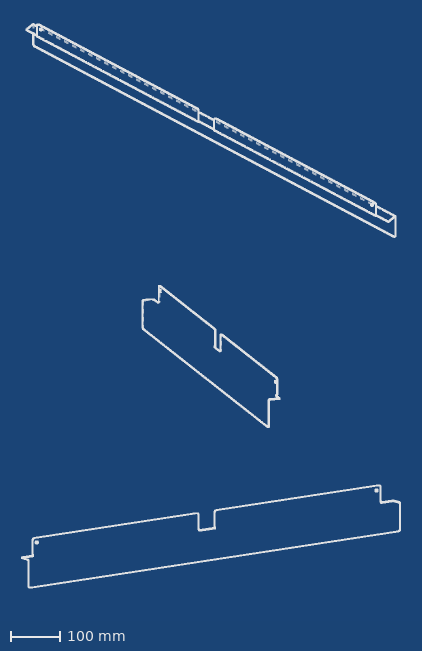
import cadquery as cq
import math

length = 937.0
depth = 28.0
height = 95.0

sheet = 2.0
inner_radius = 2.0
outer_radius = inner_radius + sheet

shelf_top = 60.0
shelf_bottom = shelf_top - sheet

web_corner_radius = 5.0

flange_inset = 29.75
flange_gap = 40.0
flange_length = length / 2 - flange_inset - flange_gap / 2
flange_corner_radius = 5.0

hole_diameter = 5.0
hole_from_end = 10.5
hole_from_top = 10.0

front = -depth / 2
back = depth / 2
flange_bend_line = front + outer_radius
web_bend_line = back - outer_radius


def bend_middle(center_y, center_z, radius):
    """Middle of a 90 degree bend; a negative radius gives the bend facing -Y and -Z."""
    offset = radius * math.sqrt(0.5)
    return (center_y + offset, center_z + offset)


def extrude_along_x(profile, start, distance):
    """Extrude a closed (Y, Z) profile in +X from the given start."""
    return profile.extrude(distance).translate((start, 0, 0))


def make_web_and_shelf():
    """Full-length lower web, rear bend and flat shelf."""
    bend_z = shelf_top - outer_radius
    profile = (
        cq.Workplane("YZ")
        .moveTo(flange_bend_line, shelf_top)
        .lineTo(web_bend_line, shelf_top)
        .threePointArc(
            bend_middle(web_bend_line, bend_z, outer_radius),
            (back, bend_z),
        )
        .lineTo(back, 0)
        .lineTo(back - sheet, 0)
        .lineTo(back - sheet, bend_z)
        .threePointArc(
            bend_middle(web_bend_line, bend_z, inner_radius),
            (web_bend_line, shelf_bottom),
        )
        .lineTo(flange_bend_line, shelf_bottom)
        .close()
    )
    web_and_shelf = extrude_along_x(profile, -length / 2, length)
    return web_and_shelf.edges("|Y and <Z").fillet(web_corner_radius)


def make_left_flange():
    """Left upright flange with its bend, rounded top corners and hole."""
    bend_z = shelf_bottom + outer_radius
    start = -length / 2 + flange_inset
    profile = (
        cq.Workplane("YZ")
        .moveTo(flange_bend_line, shelf_bottom)
        .threePointArc(
            bend_middle(flange_bend_line, bend_z, -outer_radius),
            (front, bend_z),
        )
        .lineTo(front, height)
        .lineTo(front + sheet, height)
        .lineTo(front + sheet, bend_z)
        .threePointArc(
            bend_middle(flange_bend_line, bend_z, -inner_radius),
            (flange_bend_line, shelf_top),
        )
        .close()
    )
    flange = extrude_along_x(profile, start, flange_length)
    flange = flange.edges("|Y and >Z").fillet(flange_corner_radius)
    hole = (
        cq.Workplane("XZ", origin=(0, back, 0))
        .center(start + hole_from_end, height - hole_from_top)
        .circle(hole_diameter / 2)
        .extrude(depth)
    )
    return flange.cut(hole)


left_flange = make_left_flange()
right_flange = left_flange.mirror("YZ")
result = make_web_and_shelf().union(left_flange).union(right_flange)